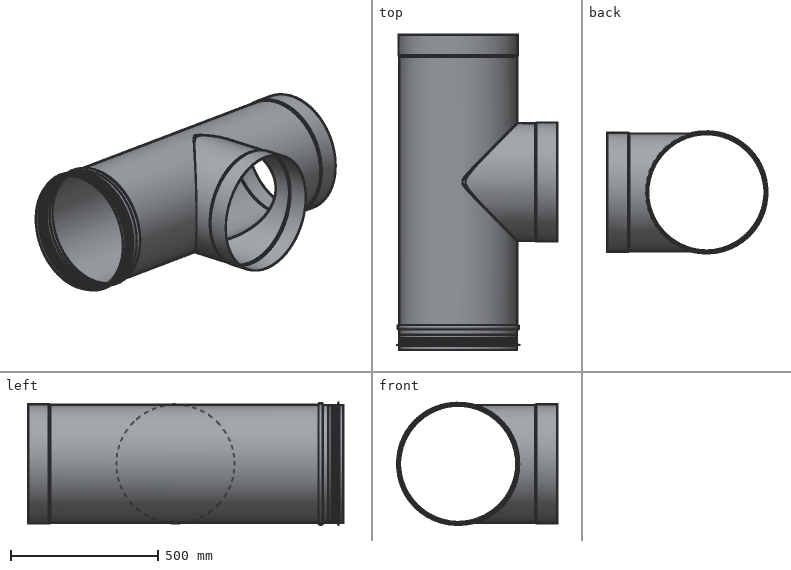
import cadquery as cq

main_diameter = 401.6
branch_diameter = 400.6
pipe_wall = 1.0
nipple_diameter = 400.6
nipple_wall = 0.8
lip_diameter = 414.6

back_end = 535.0
front_end = -535.0
branch_end = 336.5
branch_y = 35.0

socket_length = 70.0
cone_length = 5.5
socket_step = 2.0

bead_start = -450.0
bead_width = 15.5
bead_height = 6.5

seat_start = -483.5
seat_end = -520.5
seat_depth = 2.5
seat_slope_length = 2.0

gasket_groove_starts = (-494.7, -504.5)
gasket_groove_width = 3.2
gasket_groove_depth = 1.5
lip_start = -515.0
lip_tip = -518.5

main_radius = main_diameter / 2
branch_radius = branch_diameter / 2
nipple_radius = nipple_diameter / 2
nipple_bore_radius = nipple_radius - nipple_wall
seat_radius = nipple_radius - seat_depth
lip_radius = lip_diameter / 2
seat_slope_start = seat_end + seat_slope_length


def revolve_about_axis(outline):
    """Turn a closed (radius, distance) outline about the Y axis."""
    return outline.close().revolve(360, (0, 0, 0), (0, 1, 0))


def socket_cylinder(radius, start, end):
    """Solid of revolution along Y that widens over a cone into a socket at its end."""
    cone_end = end - socket_length
    cone_start = cone_end - cone_length
    socket_radius = radius + socket_step
    return revolve_about_axis(
        cq.Workplane("XY").polyline([
            (0, start),
            (radius, start),
            (radius, cone_start),
            (socket_radius, cone_end),
            (socket_radius, end),
            (0, end),
        ])
    )


def place_branch(cylinder):
    """Swing a cylinder from the Y axis onto the branch axis along +X."""
    return cylinder.rotate((0, 0, 0), (0, 0, 1), -90).translate((0, branch_y, 0))


main_cylinder = socket_cylinder(main_radius, bead_start, back_end)
main_bore = socket_cylinder(main_radius - pipe_wall, bead_start, back_end)
branch_cylinder = place_branch(socket_cylinder(branch_radius, 0, branch_end))
branch_bore = place_branch(socket_cylinder(branch_radius - pipe_wall, 0, branch_end))

main_pipe = main_cylinder.cut(main_bore).cut(branch_bore)
branch_pipe = branch_cylinder.cut(branch_bore).cut(main_cylinder)


def build_nipple():
    """Thin sheet ring with a hollow rounded bead and a stepped gasket seat."""
    bead_end = bead_start - bead_width
    bead_middle = (bead_start + bead_end) / 2
    seat_bore_radius = seat_radius - nipple_wall
    return revolve_about_axis(
        cq.Workplane("XY")
        .moveTo(nipple_radius, bead_start)
        .threePointArc((nipple_radius + bead_height, bead_middle), (nipple_radius, bead_end))
        .lineTo(nipple_radius, seat_start)
        .lineTo(seat_radius, seat_start)
        .lineTo(seat_radius, seat_slope_start)
        .lineTo(nipple_radius, seat_end)
        .lineTo(nipple_radius, front_end)
        .lineTo(nipple_bore_radius, front_end)
        .lineTo(nipple_bore_radius, seat_end - nipple_wall)
        .lineTo(seat_bore_radius, seat_slope_start - nipple_wall)
        .lineTo(seat_bore_radius, seat_start + nipple_wall)
        .lineTo(nipple_bore_radius, seat_start + nipple_wall)
        .lineTo(nipple_bore_radius, bead_end + nipple_wall)
        .threePointArc(
            (nipple_bore_radius + bead_height, bead_middle),
            (nipple_bore_radius, bead_start - nipple_wall),
        )
        .lineTo(nipple_bore_radius, bead_start)
    )


def build_gasket():
    """Band that fills the seat, with two V grooves and a pointed sealing lip."""
    groove_radius = nipple_radius - gasket_groove_depth
    outline = cq.Workplane("XY").moveTo(seat_radius, seat_start).lineTo(nipple_radius, seat_start)
    for groove_start in gasket_groove_starts:
        outline = (
            outline.lineTo(nipple_radius, groove_start)
            .lineTo(groove_radius, groove_start)
            .lineTo(nipple_radius, groove_start - gasket_groove_width)
        )
    return revolve_about_axis(
        outline.lineTo(nipple_radius, lip_start)
        .lineTo(lip_radius, lip_tip)
        .lineTo(seat_radius, seat_slope_start)
    )


nipple = build_nipple()
gasket = build_gasket()

result = cq.Compound.makeCompound(
    [main_pipe.val(), branch_pipe.val(), nipple.val(), gasket.val()]
)